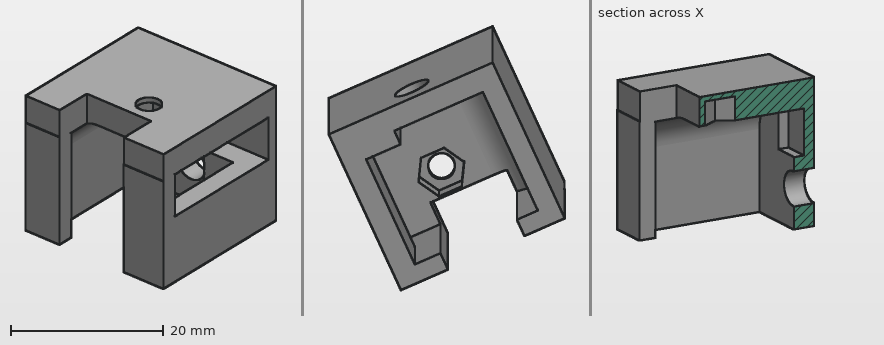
import cadquery as cq
import math

WIDTH = 23.6
DEPTH = 23.07
HEIGHT = 20.5
ROOF_THICKNESS = 4.1
ROOF_SETBACK = 0.07
ROOF_BOTTOM = HEIGHT - ROOF_THICKNESS

RIGHT_WALL = 3.1
FRONT_WALL = 2.43
REAR_WALL = 3.1
CAVITY_RADIUS = 5.0
CAVITY_LEFT = 2.8
CAVITY_RIGHT = WIDTH - RIGHT_WALL
CAVITY_REAR = DEPTH - REAR_WALL

SLOT_LEFT = 5.82
SLOT_WIDTH = 11.0
SLOT_DEPTH = 5.6

LEDGE_HEIGHT = 10.0
RECESS_LEFT = 7.75
RECESS_TAPER = 0.1
RECESS_DEPTH = 1.5

BLOCK_LEFT = 15.55
BLOCK_DEPTH = 2.0

REAR_HOLE_DIAMETER = 4.8
REAR_HOLE_X = 11.65
REAR_HOLE_Z = 5.6
SCREW_DIAMETER = 3.5
SCREW_X = 13.8
SCREW_Y = 8.77
NUT_SIDES = 6
NUT_ACROSS_FLATS = 5.7
NUT_ROOF = 0.8


def box(x0, x1, y0, y1, z0, z1):
    """Box between two opposite corners."""
    return cq.Workplane("XY").box(x1 - x0, y1 - y0, z1 - z0, centered=False).translate((x0, y0, z0))


def outer_block():
    walls = box(0, WIDTH, 0, DEPTH, 0, ROOF_BOTTOM)
    roof = box(0, WIDTH, ROOF_SETBACK, DEPTH, ROOF_BOTTOM, HEIGHT)
    return walls.union(roof)


def cavity():
    space = box(CAVITY_LEFT, CAVITY_RIGHT, FRONT_WALL, CAVITY_REAR, 0, ROOF_BOTTOM)
    return space.edges("|Y and <X and >Z").fillet(CAVITY_RADIUS)


def front_slot():
    return box(SLOT_LEFT, SLOT_LEFT + SLOT_WIDTH, 0, SLOT_DEPTH, 0, HEIGHT)


def side_opening():
    """Opening in the right wall, running from the front wall to the rear wall."""
    return box(CAVITY_RIGHT, WIDTH, FRONT_WALL, CAVITY_REAR, LEDGE_HEIGHT, ROOF_BOTTOM)


def rear_recess():
    """Recess in the rear wall, open to the right, with a leaning left side."""
    recess_rear = CAVITY_REAR + RECESS_DEPTH
    outline = [
        (RECESS_LEFT, CAVITY_REAR),
        (WIDTH, CAVITY_REAR),
        (WIDTH, recess_rear),
        (RECESS_LEFT + RECESS_TAPER, recess_rear),
    ]
    recess = cq.Workplane("XY").workplane(offset=LEDGE_HEIGHT).polyline(outline).close()
    return recess.extrude(ROOF_BOTTOM - LEDGE_HEIGHT)


def corner_block():
    return box(BLOCK_LEFT, CAVITY_RIGHT, CAVITY_REAR - BLOCK_DEPTH, CAVITY_REAR, 0, LEDGE_HEIGHT)


def rear_hole():
    plane = cq.Workplane("XZ", origin=(REAR_HOLE_X, DEPTH, REAR_HOLE_Z))
    return plane.circle(REAR_HOLE_DIAMETER / 2).extrude(REAR_WALL)


def screw_hole_with_nut_pocket():
    """Vertical screw hole with a hexagonal nut pocket opening into the cavity."""
    nut_across_corners = NUT_ACROSS_FLATS / math.cos(math.pi / NUT_SIDES)
    base = cq.Workplane("XY", origin=(SCREW_X, SCREW_Y, ROOF_BOTTOM))
    screw = base.circle(SCREW_DIAMETER / 2).extrude(ROOF_THICKNESS)
    nut = base.polygon(NUT_SIDES, nut_across_corners).extrude(ROOF_THICKNESS - NUT_ROOF)
    return screw.union(nut)


result = (
    outer_block()
    .cut(cavity())
    .cut(front_slot())
    .cut(side_opening())
    .cut(rear_recess())
    .union(corner_block())
    .cut(rear_hole())
    .cut(screw_hole_with_nut_pocket())
)